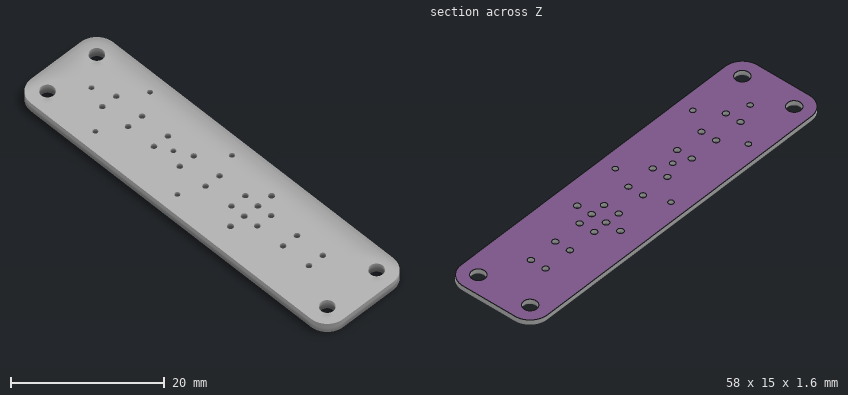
import cadquery as cq

BOARD_LENGTH = 58.0
BOARD_WIDTH = 15.0
BOARD_THICKNESS = 1.6
CORNER_RADIUS = 3.0

MOUNT_DIAMETER = 2.2
MOUNT_X = BOARD_LENGTH / 2 - CORNER_RADIUS
MOUNT_Y = BOARD_WIDTH / 2 - CORNER_RADIUS

ROW_DIAMETER = 0.9
ROW_COUNT = 2
COLUMN_COUNT = 9
COLUMN_PITCH = 4.8
ROW_SPACING = 2.54
ROW_CENTER_X = 0.1

HEADER_DIAMETER = 0.95
HEADER_COUNT = 4
HEADER_PITCH = 2.5
HEADER_X = 7.3
HEADER_CENTER_Y = -0.05

GROUP_DIAMETER = 0.8
GROUP_COUNT = 2
GROUP_PITCH = 15.24
GROUP_LEFT_X = -22.42
UPPER_OFFSET_X = 5.9
LOWER_OFFSET_X = 5.73
OUTER_OFFSET_Y = 4.9


def spread(count, pitch, center=0.0):
    """Return evenly pitched positions centred on the given coordinate."""
    first = center - pitch * (count - 1) / 2
    return [first + pitch * index for index in range(count)]


def make_board():
    """Flat plate with rounded vertical corners, resting on Z = 0."""
    plate = cq.Workplane("XY").box(
        BOARD_LENGTH, BOARD_WIDTH, BOARD_THICKNESS, centered=(True, True, False)
    )
    return plate.edges("|Z").fillet(CORNER_RADIUS)


def drill(board, points, diameter):
    """Drill a through hole at each point."""
    holes = cq.Workplane("XY").pushPoints(points).circle(diameter / 2).extrude(BOARD_THICKNESS)
    return board.cut(holes)


def mount_points():
    return [(x, y) for x in (-MOUNT_X, MOUNT_X) for y in (-MOUNT_Y, MOUNT_Y)]


def row_points():
    columns = spread(COLUMN_COUNT, COLUMN_PITCH, ROW_CENTER_X)
    rows = spread(ROW_COUNT, ROW_SPACING)
    return [(x, y) for x in columns for y in rows]


def header_points():
    return [(HEADER_X, y) for y in spread(HEADER_COUNT, HEADER_PITCH, HEADER_CENTER_Y)]


def group_points():
    points = []
    for index in range(GROUP_COUNT):
        left_x = GROUP_LEFT_X + index * GROUP_PITCH
        points.append((left_x, 0))
        points.append((left_x + UPPER_OFFSET_X, OUTER_OFFSET_Y))
        points.append((left_x + LOWER_OFFSET_X, -OUTER_OFFSET_Y))
    return points


result = make_board()
result = drill(result, mount_points(), MOUNT_DIAMETER)
result = drill(result, row_points(), ROW_DIAMETER)
result = drill(result, header_points(), HEADER_DIAMETER)
result = drill(result, group_points(), GROUP_DIAMETER)